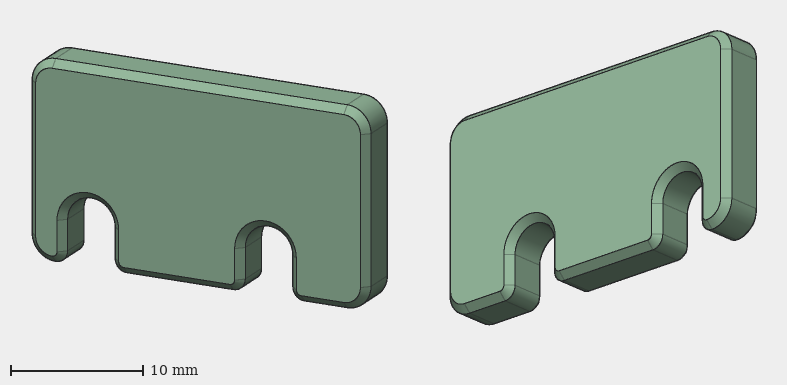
import cadquery as cq
import math

width = 28.6
thickness = 4.0
height = 16.22
corner_radius = 2.0
chamfer = 0.6

slot_radius = 2.0
slot_end_height = 3.52
slot_spacing = 15.0
mouth_radius = 1.0
first_slot_x = corner_radius + mouth_radius + slot_radius
slot_centers = [first_slot_x, first_slot_x + slot_spacing]

DIAGONAL = math.sqrt(0.5)


def rounded_corner(outline, center, radius, start_direction, end_direction):
    """Add a quarter arc between two perpendicular unit directions from its centre."""
    def point(direction, reach):
        return (center[0] + reach * direction[0], center[1] + reach * direction[1])

    middle_direction = (start_direction[0] + end_direction[0], start_direction[1] + end_direction[1])
    return outline.threePointArc(point(middle_direction, radius * DIAGONAL), point(end_direction, radius))


def add_slot(outline, center_x):
    """Continue the bottom edge, from left to right, around one slot."""
    left = center_x - slot_radius
    right = center_x + slot_radius
    outline = rounded_corner(outline, (left - mouth_radius, mouth_radius), mouth_radius, DOWN, RIGHT)
    outline = outline.lineTo(left, slot_end_height)
    outline = outline.threePointArc((center_x, slot_end_height + slot_radius), (right, slot_end_height))
    outline = outline.lineTo(right, mouth_radius)
    return rounded_corner(outline, (right + mouth_radius, mouth_radius), mouth_radius, LEFT, DOWN)


LEFT, RIGHT, DOWN, UP = (-1, 0), (1, 0), (0, -1), (0, 1)
near = corner_radius
far_x = width - corner_radius
far_z = height - corner_radius

outline = cq.Workplane("XZ").moveTo(0, near)
outline = rounded_corner(outline, (near, near), corner_radius, LEFT, DOWN)
outline = add_slot(outline, slot_centers[0])
outline = outline.lineTo(slot_centers[1] - slot_radius - mouth_radius, 0)
outline = add_slot(outline, slot_centers[1])
outline = outline.lineTo(far_x, 0)
outline = rounded_corner(outline, (far_x, near), corner_radius, DOWN, RIGHT)
outline = outline.lineTo(width, far_z)
outline = rounded_corner(outline, (far_x, far_z), corner_radius, RIGHT, UP)
outline = outline.lineTo(near, height)
outline = rounded_corner(outline, (near, far_z), corner_radius, UP, LEFT)

plate = outline.close().extrude(thickness)

result = plate.faces("<Y or >Y").edges().chamfer(chamfer)